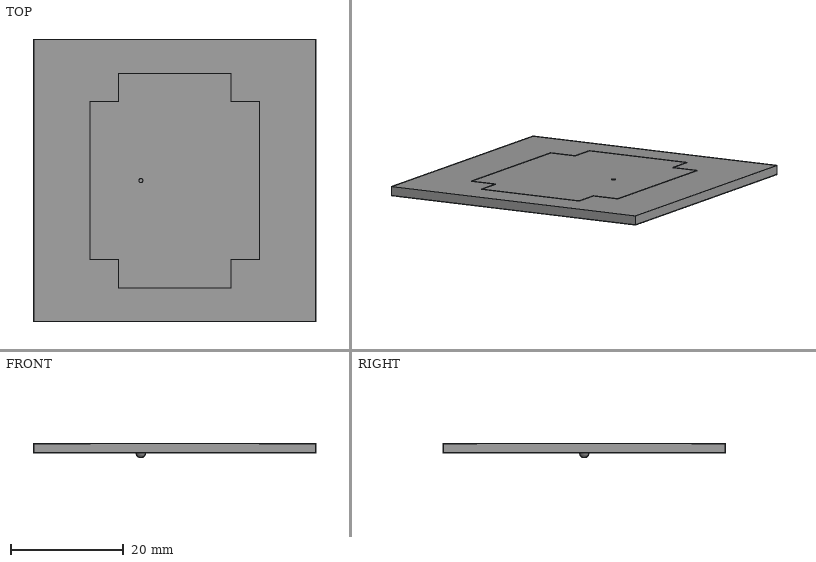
import cadquery as cq

board_side = 50.0
board_thickness = 1.6
sheet_thickness = 0.05

patch_length_x = 30.0
patch_length_y = 38.0
corner_notch = 5.0

pin_diameter = 0.7
feed_x = -6.0
bump_radius = 0.85

board_bottom = sheet_thickness
board_top = board_bottom + board_thickness
patch_top = board_top + sheet_thickness


def make_plate(length_x, length_y, bottom, thickness):
    """Centred rectangular plate standing on the height `bottom`."""
    return cq.Workplane("XY", origin=(0, 0, bottom)).rect(length_x, length_y).extrude(thickness)


def make_pin():
    """Round pin from the underside of the ground sheet to the top of the patch."""
    return cq.Workplane("XY").center(feed_x, 0).circle(pin_diameter / 2).extrude(patch_top)


def make_ground_sheet(pin):
    """Thin sheet covering the whole underside of the board, with the pin hole."""
    return make_plate(board_side, board_side, 0, sheet_thickness).cut(pin)


def make_board(pin):
    """Square board with the pin hole."""
    return make_plate(board_side, board_side, board_bottom, board_thickness).cut(pin)


def make_patch(pin):
    """Thin cross-shaped sheet on top of the board, with the pin hole."""
    notched_x = patch_length_x - 2 * corner_notch
    notched_y = patch_length_y - 2 * corner_notch
    long_bar = make_plate(notched_x, patch_length_y, board_top, sheet_thickness)
    wide_bar = make_plate(patch_length_x, notched_y, board_top, sheet_thickness)
    return long_bar.union(wide_bar).clean().cut(pin)


def make_bump():
    """Half ball hanging from the underside of the ground sheet, below the pin."""
    ball = cq.Workplane("XY", origin=(feed_x, 0, 0)).sphere(bump_radius)
    upper_half = make_plate(board_side, board_side, 0, bump_radius)
    return ball.cut(upper_half)


pin = make_pin()
ground_sheet = make_ground_sheet(pin)
board = make_board(pin)
patch = make_patch(pin)
bump = make_bump()

result = cq.Compound.makeCompound([ground_sheet.val(), board.val(), patch.val(), pin.val(), bump.val()])